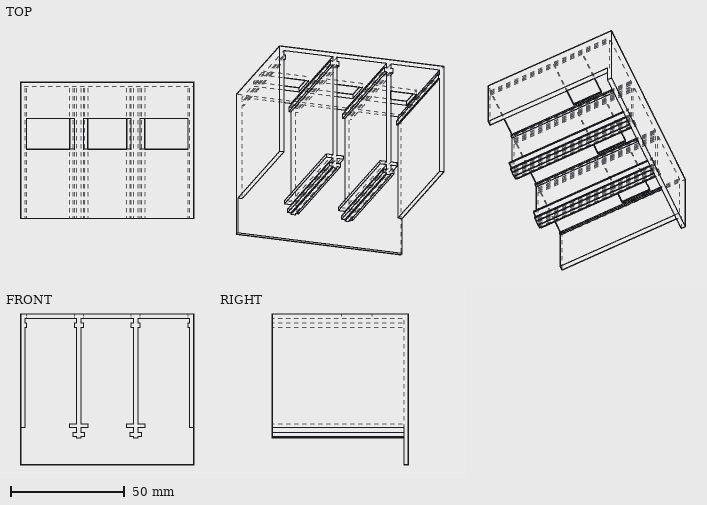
import cadquery as cq

width = 76.2
depth = 60.0
height = 66.5
wall = 2.0
side_wall_height = 50.0

cell_pitch = 25.0
cell_count = 3
partition_height = 54.6

wide_rail_width = 8.0
wide_rail_top = 48.5
wide_rail_bottom = side_wall_height
narrow_rail_width = 5.0
narrow_rail_top = 52.3
narrow_rail_bottom = 53.9

rib_top = 4.0
rib_bottom = 6.0
partition_rib_width = 4.0
wall_rib_projection = 0.6

window_width = 21.0
window_depth = 13.5
window_back_offset = 16.0

front_y = -depth / 2
back_y = depth / 2
plate_front_y = back_y - wall


def bar(x_center, bar_width, top_drop, bottom_drop):
    """Full-depth bar, ending in the back plate, between two depths below the roof top."""
    return (
        cq.Workplane("XY")
        .box(bar_width, depth, bottom_drop - top_drop, centered=(True, False, False))
        .translate((x_center, front_y, height - bottom_drop))
    )


def back_plate():
    return (
        cq.Workplane("XY")
        .box(width, wall, height, centered=(True, False, False))
        .translate((0, plate_front_y, 0))
    )


def side_wall(side):
    """Side wall with its small inner rib; side is -1 for left, 1 for right."""
    rib_reach = wall + wall_rib_projection
    panel = bar(side * (width - wall) / 2, wall, 0, side_wall_height)
    rib = bar(side * (width - rib_reach) / 2, rib_reach, rib_top, rib_bottom)
    return panel.union(rib)


def partition(x_center):
    """Partition with an upper rib and two lower rails."""
    panel = bar(x_center, wall, 0, partition_height)
    upper_rib = bar(x_center, partition_rib_width, rib_top, rib_bottom)
    wide_rail = bar(x_center, wide_rail_width, wide_rail_top, wide_rail_bottom)
    narrow_rail = bar(x_center, narrow_rail_width, narrow_rail_top, narrow_rail_bottom)
    return panel.union(upper_rib).union(wide_rail).union(narrow_rail)


def roof_window(x_center):
    window_y = back_y - window_back_offset - window_depth / 2
    return (
        cq.Workplane("XY")
        .box(window_width, window_depth, wall, centered=(True, True, False))
        .translate((x_center, window_y, height - wall))
    )


roof = bar(0, width, 0, wall)
body = back_plate().union(roof)

for side in (-1, 1):
    body = body.union(side_wall(side))

for index in range(1, cell_count):
    partition_x = (index - cell_count / 2) * cell_pitch
    body = body.union(partition(partition_x))

for index in range(cell_count):
    window_x = (index - (cell_count - 1) / 2) * cell_pitch
    body = body.cut(roof_window(window_x))

result = body